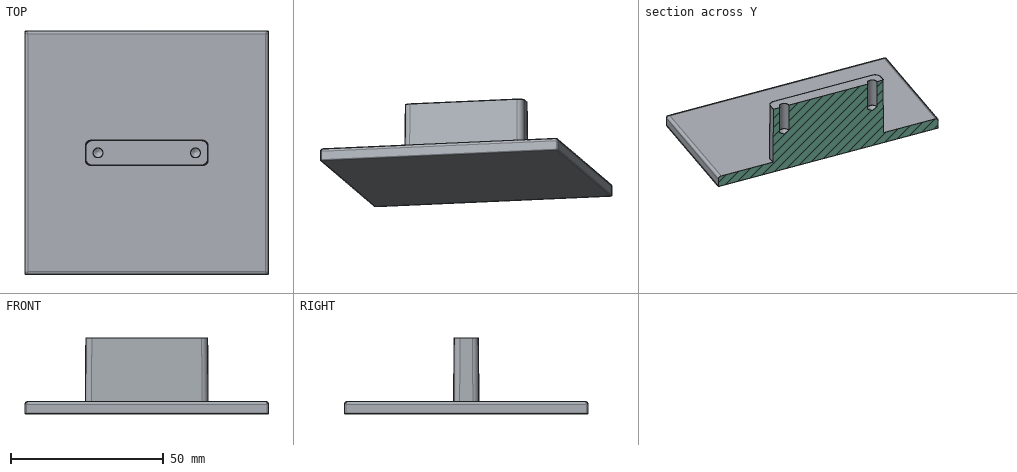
import cadquery as cq
import math

PLATE_SIDE = 80.0
PLATE_THICKNESS = 4.1
PLATE_CORNER_RADIUS = 0.5
PLATE_RIM_RADIUS = 1.0
PLATE_BOTTOM_RADIUS = 0.3

TOTAL_HEIGHT = 25.0
BLOCK_HEIGHT = TOTAL_HEIGHT - PLATE_THICKNESS
BLOCK_TOP_LENGTH = 40.0
BLOCK_TOP_WIDTH = 8.0
BLOCK_DRAFT_DEGREES = 0.5
BLOCK_CORNER_RADIUS = 2.0

HOLE_DIAMETER = 3.2
HOLE_SPACING = 32.0
HOLE_DEPTH = 10.0
DRILL_POINT_ANGLE = 118.0


def make_plate():
    """Square plate with rounded vertical corners, top rim and bottom edge."""
    plate = cq.Workplane("XY").box(
        PLATE_SIDE, PLATE_SIDE, PLATE_THICKNESS, centered=(True, True, False)
    )
    plate = plate.edges("|Z").fillet(PLATE_CORNER_RADIUS)
    plate = plate.faces(">Z").edges().fillet(PLATE_RIM_RADIUS)
    return plate.faces("<Z").edges().fillet(PLATE_BOTTOM_RADIUS)


def make_block():
    """Drafted block with four rounded upright corners."""
    draft_offset = BLOCK_HEIGHT * math.tan(math.radians(BLOCK_DRAFT_DEGREES))
    base_length = BLOCK_TOP_LENGTH + 2 * draft_offset
    base_width = BLOCK_TOP_WIDTH + 2 * draft_offset
    block = (
        cq.Workplane("XY", origin=(0, 0, PLATE_THICKNESS))
        .rect(base_length, base_width)
        .extrude(BLOCK_HEIGHT, taper=BLOCK_DRAFT_DEGREES)
    )
    upright_edges = block.edges("not(#Z or >Z or <Z)")
    return upright_edges.fillet(BLOCK_CORNER_RADIUS)


def make_hole(center_x):
    """Drilled hole volume, with a conical tip, sunk from the top of the block."""
    radius = HOLE_DIAMETER / 2
    tip_length = radius / math.tan(math.radians(DRILL_POINT_ANGLE / 2))
    profile = [
        (0, 0),
        (radius, 0),
        (radius, -HOLE_DEPTH),
        (0, -HOLE_DEPTH - tip_length),
    ]
    return (
        cq.Workplane("XZ", origin=(center_x, 0, TOTAL_HEIGHT))
        .polyline(profile)
        .close()
        .revolve(360, (0, 0, 0), (0, 1, 0))
    )


result = make_plate().union(make_block())
for side in (-1, 1):
    result = result.cut(make_hole(side * HOLE_SPACING / 2))